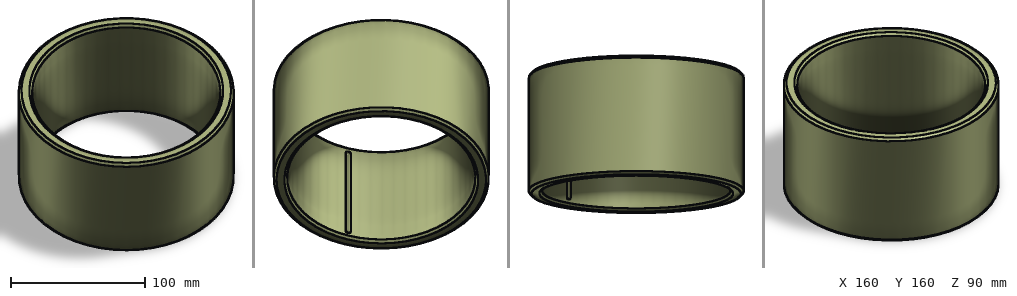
import cadquery as cq

outer_diameter = 160.0
bore_diameter = 140.0
height = 90.0
edge_chamfer = 2.0
groove_diameter = 4.0
groove_end_gap = 5.0

outer_radius = outer_diameter / 2
bore_radius = bore_diameter / 2
groove_radius = groove_diameter / 2

tube = cq.Workplane("XY").circle(outer_radius).circle(bore_radius).extrude(height)
tube = tube.faces("<Z or >Z").edges().chamfer(edge_chamfer)

low_centre = groove_end_gap + groove_radius
high_centre = height - low_centre
groove = (
    cq.Workplane("XZ", origin=(bore_radius, 0, 0))
    .moveTo(0, groove_end_gap)
    .radiusArc((groove_radius, low_centre), -groove_radius)
    .lineTo(groove_radius, high_centre)
    .radiusArc((0, height - groove_end_gap), -groove_radius)
    .close()
    .revolve(360, (0, 0), (0, 1))
)

result = tube.cut(groove)